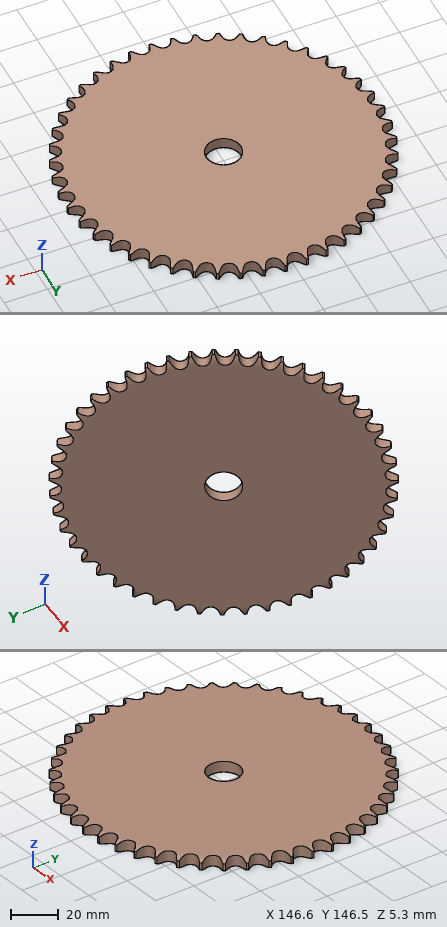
import cadquery as cq
import math

overall_width = 146.6
thickness = 5.3
bore_diameter = 16.0
tooth_count = 47
chain_pitch = 9.5
seat_radius = 3.2
seat_half_angle = 53.7
working_radius = 8.2
working_angle = 16.8
flank_length = 0.92
tip_half_width = 0.51
face_radius = 69.0
rim_round_radius = 10.0
blank_allowance = 1.5

pitch_angle = 2 * math.pi / tooth_count
first_tooth_angle = -math.pi / 2
pitch_radius = chain_pitch / (2 * math.sin(pitch_angle / 2))

teeth_to_x_axis = round((math.pi / 2) / pitch_angle)
widest_tooth_angle = abs(first_tooth_angle + teeth_to_x_axis * pitch_angle)
tip_half_angle = math.asin(2 * tip_half_width / overall_width)
tip_radius = overall_width / 2 / math.cos(widest_tooth_angle - tip_half_angle)


def polar(radius, angle):
    """Point at a radius and an angle about the sprocket axis."""
    return (radius * math.cos(angle), radius * math.sin(angle))


def turned(point, angle):
    """Rotate a point about the sprocket axis."""
    x, y = point
    return (
        x * math.cos(angle) - y * math.sin(angle),
        x * math.sin(angle) + y * math.cos(angle),
    )


def mirrored(point):
    """Matching point on the other side of the gap laid out on the X axis."""
    return (point[0], -point[1])


def shifted(point, distance, angle):
    """Point at a distance from another one, in the direction of the angle."""
    step = polar(distance, angle)
    return (point[0] + step[0], point[1] + step[1])


def topping_middle(start, end, start_direction):
    """Middle of the arc to the tip corner, tangent to the straight flank at its start."""
    run, rise = end[0] - start[0], end[1] - start[1]
    chord = math.hypot(run, rise)
    turn_to_chord = math.atan2(rise, run) - start_direction
    reach = chord / (2 * math.cos(turn_to_chord / 2))
    return shifted(start, reach, start_direction + turn_to_chord / 2)


def sprocket_outline():
    """Closed outline of all teeth; each gap is laid out on the X axis, then turned."""
    seat_angle = math.radians(seat_half_angle)
    end_angle = seat_angle + math.radians(working_angle)
    seat_centre = (pitch_radius, 0)
    seat_bottom = (pitch_radius - seat_radius, 0)
    seat_end = shifted(seat_centre, -seat_radius, -seat_angle)
    working_centre = shifted(seat_end, working_radius, -seat_angle)
    working_mid = shifted(working_centre, -working_radius, -(seat_angle + end_angle) / 2)
    working_end = shifted(working_centre, -working_radius, -end_angle)

    flank_direction = math.pi / 2 - end_angle
    flank_end = shifted(working_end, flank_length, flank_direction)
    tip_corner = polar(tip_radius, pitch_angle / 2 - tip_half_angle)
    topping_mid = topping_middle(flank_end, tip_corner, flank_direction)
    tip_middle = polar(tip_radius, pitch_angle / 2)
    next_corner = polar(tip_radius, pitch_angle / 2 + tip_half_angle)

    stretches = [
        (mirrored(topping_mid), mirrored(flank_end)),
        (None, mirrored(working_end)),
        (mirrored(working_mid), mirrored(seat_end)),
        (seat_bottom, seat_end),
        (working_mid, working_end),
        (None, flank_end),
        (topping_mid, tip_corner),
        (tip_middle, next_corner),
    ]

    first_gap_angle = first_tooth_angle + pitch_angle / 2
    outline = cq.Workplane("XY").moveTo(*turned(mirrored(tip_corner), first_gap_angle))
    for gap in range(tooth_count):
        angle = first_gap_angle + gap * pitch_angle
        for middle, end in stretches:
            if middle is None:
                outline = outline.lineTo(*turned(end, angle))
            else:
                outline = outline.threePointArc(turned(middle, angle), turned(end, angle))
    return outline.close()


def rounded_blank():
    """Solid of revolution with the tooth sides rounded towards the tips."""
    blank_radius = tip_radius + blank_allowance
    run = blank_radius - face_radius

    def side_drop(distance):
        """Axial fall of the rounded side at a distance outside the flat face."""
        return rim_round_radius - math.sqrt(rim_round_radius**2 - distance**2)

    edge_drop = side_drop(run)
    middle_drop = side_drop(run / 2)
    middle_radius = face_radius + run / 2
    return (
        cq.Workplane("XZ")
        .lineTo(face_radius, 0)
        .threePointArc((middle_radius, middle_drop), (blank_radius, edge_drop))
        .lineTo(blank_radius, thickness - edge_drop)
        .threePointArc((middle_radius, thickness - middle_drop), (face_radius, thickness))
        .lineTo(0, thickness)
        .close()
        .revolve(360, (0, 0), (0, 1))
    )


toothed_plate = sprocket_outline().extrude(thickness)
bore = cq.Workplane("XY").circle(bore_diameter / 2).extrude(thickness)
result = toothed_plate.intersect(rounded_blank()).cut(bore)